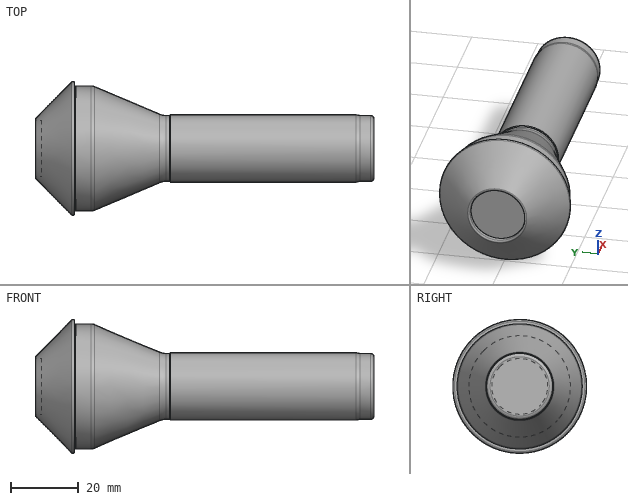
import cadquery as cq
import math


head_radius = 39.61 / 2
head_back_x = 11.6
rim_round = 0.55
recess_radius = 8.25
recess_depth = 1.75
lip_round = 0.4
neck_radius = 15.0
neck_length = 0.25

body_front_x = head_back_x + neck_length
drum_radius = 37 / 2
drum_corner_x = 16.95
drum_round = 3.0
relief_radius = 19.5 / 2
taper_end_x = 37.6
relief_round = 5.0
shank_radius = 20 / 2
shank_start_x = 39.95
shank_end_x = 94.6
front_step_chamfer = 0.3
rear_step_chamfer = 1.25
end_x = 100.0
end_round = 1.0


def turned(profile):
    """Revolve a closed profile, drawn as (x, radius), a full turn about the X axis."""
    return profile.close().revolve(360, (0, 0, 0), (1, 0, 0))


def make_head():
    lip_x = lip_round
    lip_r = recess_radius + lip_round
    rim_x = head_back_x - rim_round
    rim_r = head_radius - rim_round
    center_angle = math.atan2(rim_r - lip_r, rim_x - lip_x)
    center_distance = math.hypot(rim_x - lip_x, rim_r - lip_r)
    cone_angle = center_angle + math.asin((rim_round - lip_round) / center_distance)
    normal_x = -math.sin(cone_angle)
    normal_r = math.cos(cone_angle)
    return turned(
        cq.Workplane("XY")
        .moveTo(recess_depth, 0)
        .lineTo(recess_depth, recess_radius)
        .lineTo(lip_x, recess_radius)
        .threePointArc((0, lip_r), (lip_x + lip_round * normal_x, lip_r + lip_round * normal_r))
        .lineTo(rim_x + rim_round * normal_x, rim_r + rim_round * normal_r)
        .threePointArc((rim_x, head_radius), (head_back_x, rim_r))
        .lineTo(head_back_x, neck_radius)
        .lineTo(body_front_x, neck_radius)
        .lineTo(body_front_x, 0)
    )


def make_body():
    taper_angle = math.atan2(drum_radius - relief_radius, taper_end_x - drum_corner_x)
    drum_tangent = drum_round * math.tan(taper_angle / 2)
    relief_tangent = relief_round * math.tan(taper_angle / 2)
    along_x = math.cos(taper_angle)
    along_r = math.sin(taper_angle)
    return turned(
        cq.Workplane("XY")
        .moveTo(body_front_x, 0)
        .lineTo(body_front_x, drum_radius)
        .lineTo(drum_corner_x - drum_tangent, drum_radius)
        .tangentArcPoint(
            (drum_corner_x + drum_tangent * along_x, drum_radius - drum_tangent * along_r), relative=False
        )
        .lineTo(taper_end_x - relief_tangent * along_x, relief_radius + relief_tangent * along_r)
        .tangentArcPoint((taper_end_x + relief_tangent, relief_radius), relative=False)
        .lineTo(shank_start_x - front_step_chamfer, relief_radius)
        .lineTo(shank_start_x, shank_radius)
        .lineTo(shank_end_x, shank_radius)
        .lineTo(shank_end_x + rear_step_chamfer, relief_radius)
        .lineTo(end_x - end_round, relief_radius)
        .tangentArcPoint((end_x, relief_radius - end_round), relative=False)
        .lineTo(end_x, 0)
    )


head = make_head()
body = make_body()

result = cq.Compound.makeCompound([head.val(), body.val()])